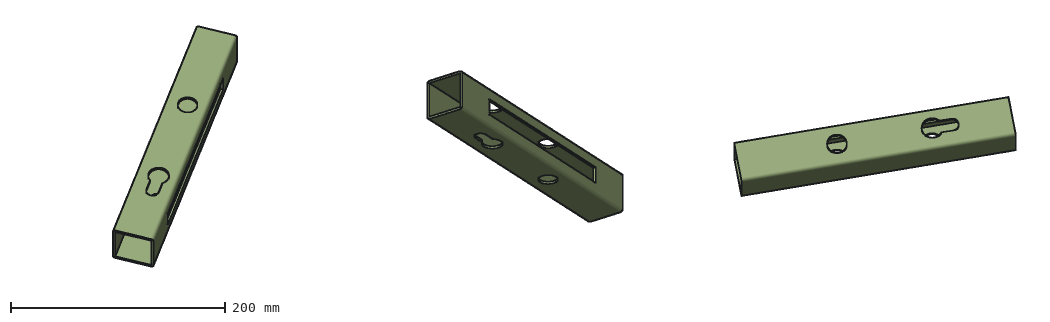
import cadquery as cq

length = 260.0
side = 40.0
wall = 2.5
corner_radius = 3.0

opening_x = 1.0
round_hole_y = 36.0
round_hole_diameter = 18.5

keyhole_y = -54.3
keyhole_head_diameter = 19.5
keyhole_slot_width = 12.0
keyhole_length = 34.8

window_length = 171.5
window_height = 16.0


def square_tube():
    outer = cq.Workplane("XY").box(side, length, side).edges("|Y").fillet(corner_radius)
    bore_side = side - 2 * wall
    bore = cq.Workplane("XY").box(bore_side, length, bore_side)
    return outer.cut(bore)


def vertical_cylinder(y, diameter):
    return (
        cq.Workplane("XY")
        .center(opening_x, y)
        .circle(diameter / 2)
        .extrude(side, both=True)
    )


def keyhole():
    head = vertical_cylinder(keyhole_y, keyhole_head_diameter)
    head_top_y = keyhole_y + keyhole_head_diameter / 2
    slot_end_y = head_top_y - keyhole_length + keyhole_slot_width / 2
    slot_length = keyhole_y - slot_end_y
    slot = (
        cq.Workplane("XY")
        .center(opening_x, keyhole_y - slot_length / 2)
        .rect(keyhole_slot_width, slot_length)
        .extrude(side, both=True)
    )
    slot_end = vertical_cylinder(slot_end_y, keyhole_slot_width)
    return head.union(slot).union(slot_end)


def side_window():
    return cq.Workplane("XY").box(side, window_length, window_height).translate((side / 2, 0, 0))


round_hole = vertical_cylinder(round_hole_y, round_hole_diameter)
result = square_tube().cut(round_hole).cut(keyhole()).cut(side_window())